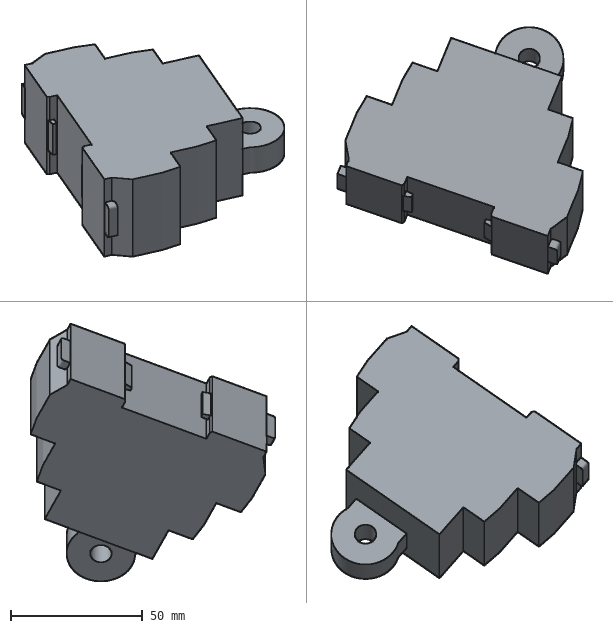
import cadquery as cq

depth = 35.8
half_width = 45.0
foot_half_width = 40.95
foot_height = 3.1
flank_bottom = 10.0
flank_top = 22.05
lower_step_height = 30.0
middle_half_width = 33.7
middle_flank_top = 41.0
middle_step_height = 49.1
shoulder_inset = 1.1
top_half_width = 22.5
body_height = 63.9

recess_half_width = 17.6
recess_depth = 4.05
recess_mouth_half_width = 18.3
recess_mouth_height = 1.0

clip_length = 14.2
clip_overlap = 0.9
outer_clip_reach = 44.7
outer_clip_bottom = 0.3
outer_clip_top = 4.0
outer_clip_radius = 1.1
inner_clip_tip = 14.8
inner_clip_root_bottom = 0.5
inner_clip_root_top = 2.9
inner_clip_tip_bottom = 1.2
inner_clip_tip_top = 2.6

overall_height = 86.8
lug_x = 5.5
lug_radius = 13.05
lug_y = overall_height - lug_radius
lug_neck_width = 24.3
lug_thickness = 11.9
lug_hole_diameter = 8.1


def mirrored_pair(solid):
    """Return the solid together with its mirror image about X = 0."""
    return solid.union(solid.mirror("YZ"))


def make_housing():
    right_outline = [
        (recess_half_width, recess_depth),
        (recess_half_width, recess_mouth_height),
        (recess_mouth_half_width, 0),
        (foot_half_width, 0),
        (foot_half_width, foot_height),
        (half_width, flank_bottom),
        (half_width, flank_top),
        (half_width - shoulder_inset, lower_step_height),
        (middle_half_width, lower_step_height),
        (middle_half_width, middle_flank_top),
        (middle_half_width - shoulder_inset, middle_step_height),
        (top_half_width, middle_step_height),
        (top_half_width, body_height),
    ]
    left_outline = [(-x, y) for x, y in reversed(right_outline)]
    outline = cq.Workplane("XY").polyline(right_outline + left_outline).close()
    return outline.extrude(depth / 2, both=True)


def make_outer_clip():
    root = foot_half_width - clip_overlap
    clip = cq.Workplane("XY").box(
        outer_clip_reach - root,
        outer_clip_top - outer_clip_bottom,
        clip_length,
        centered=(False, False, True),
    )
    clip = clip.edges(">X and |Y").fillet(outer_clip_radius)
    return clip.translate((root, outer_clip_bottom, 0))


def make_inner_clip():
    root = recess_half_width + clip_overlap
    profile = [
        (root, inner_clip_root_bottom),
        (recess_half_width, inner_clip_root_bottom),
        (inner_clip_tip, inner_clip_tip_bottom),
        (inner_clip_tip, inner_clip_tip_top),
        (recess_half_width, inner_clip_root_top),
        (root, inner_clip_root_top),
    ]
    return cq.Workplane("XY").polyline(profile).close().extrude(clip_length / 2, both=True)


def make_lug():
    disc = cq.Workplane("XY").center(lug_x, lug_y).circle(lug_radius).extrude(-lug_thickness)
    neck_length = lug_y - body_height
    neck = (
        cq.Workplane("XY")
        .center(lug_x, body_height + neck_length / 2)
        .rect(lug_neck_width, neck_length)
        .extrude(-lug_thickness)
    )
    eye = cq.Workplane("XY").center(lug_x, lug_y).circle(lug_hole_diameter / 2).extrude(-lug_thickness)
    return disc.union(neck).cut(eye)


result = (
    make_housing()
    .union(mirrored_pair(make_outer_clip()))
    .union(mirrored_pair(make_inner_clip()))
    .union(make_lug())
)